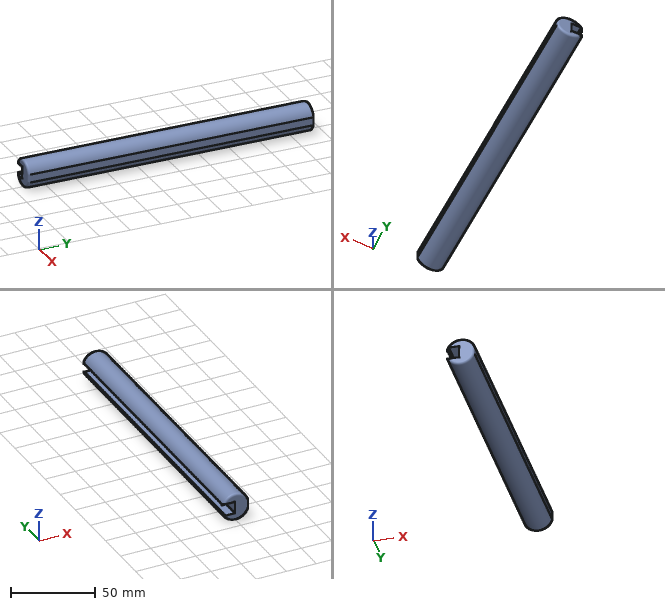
import cadquery as cq
import math

LENGTH = 187.0
RADIUS = 9.0
END_FILLET = 1.5
FLAT_HALF_HEIGHT = 2.6
FLAT_X = math.sqrt(RADIUS**2 - FLAT_HALF_HEIGHT**2)

SLOT_FLOOR_X = -0.7
SLOT_HALF_HEIGHT = 4.0
MOUTH_HALF_HEIGHT = 3.2
LIP_ROOT_X = -7.1
MOUTH_X = -math.sqrt(RADIUS**2 - MOUTH_HALF_HEIGHT**2)

BALL_RADIUS = 0.4
BALL_X = -8.2
BALL_Z = 3.0
BALL_END_DISTANCE = 1.9
BALL_Y = LENGTH / 2 - BALL_END_DISTANCE


def make_ball(y):
    return cq.Workplane("XY").sphere(BALL_RADIUS).translate((BALL_X, y, BALL_Z))


def make_slot():
    outside_x = -2 * RADIUS
    upper = [
        (SLOT_FLOOR_X, SLOT_HALF_HEIGHT),
        (LIP_ROOT_X, SLOT_HALF_HEIGHT),
        (MOUTH_X, MOUTH_HALF_HEIGHT),
        (outside_x, MOUTH_HALF_HEIGHT),
    ]
    lower = [(x, -z) for x, z in reversed(upper)]
    profile = cq.Workplane("XZ").polyline(upper + lower).close()
    return profile.extrude(LENGTH / 2, both=True)


def make_rod(balls):
    rod = cq.Workplane("XZ").circle(RADIUS).extrude(LENGTH / 2, both=True)
    beyond_flat = cq.Workplane("XY").box(RADIUS, LENGTH, 2 * RADIUS)
    rod = rod.cut(beyond_flat.translate((FLAT_X + RADIUS / 2, 0, 0)))
    rod = rod.faces("<Y or >Y").edges().fillet(END_FILLET)
    rod = rod.cut(make_slot())
    for ball in balls:
        rod = rod.cut(ball)
    return rod


balls = [make_ball(y) for y in (-BALL_Y, BALL_Y)]
rod = make_rod(balls)

result = cq.Compound.makeCompound([rod.val(), *[ball.val() for ball in balls]])